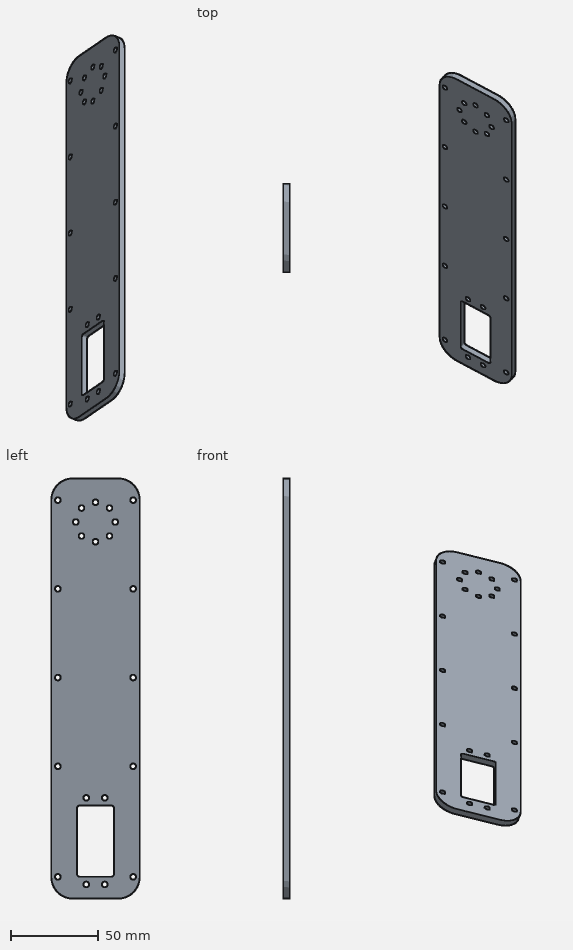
import cadquery as cq

thickness = 3.9
width = 51.0
height = 241.3
corner_radius = 12.5

hole_diameter = 3.1

edge_hole_inset = 3.9
edge_hole_y = width / 2 - edge_hole_inset
end_row_z = height / 2 - corner_radius
row_pitch = 51.0
upper_row_count = 4

ring_radius = 11.3
ring_hole_count = 8
ring_center_z = height / 2 - 25.0

window_width = 21.0
window_height = 40.8
window_corner_radius = 1.5
window_center_z = -87.5
window_hole_spacing_y = 10.5
window_hole_spacing_z = 49.7


def face_plane(center_z=0):
    """YZ plane on the middle of the plate, with local x along Y and local y along Z."""
    return cq.Workplane("YZ", origin=(0, 0, center_z))


def rounded_block(block_width, block_height, radius, center_z=0):
    """Block through the plate thickness with rounded corners."""
    block = face_plane(center_z).rect(block_width, block_height).extrude(thickness / 2, both=True)
    return block.edges("|X").fillet(radius)


def drill(layout):
    """Cylinders through the plate at the points of a layout."""
    return layout.circle(hole_diameter / 2).extrude(thickness, both=True)


plate = rounded_block(width, height, corner_radius)
window = rounded_block(window_width, window_height, window_corner_radius, window_center_z)

row_heights = [end_row_z - row * row_pitch for row in range(upper_row_count)]
row_heights.append(-end_row_z)
edge_points = [(side * edge_hole_y, z) for z in row_heights for side in (-1, 1)]
edge_holes = drill(face_plane().pushPoints(edge_points))

ring_holes = drill(face_plane(ring_center_z).polarArray(ring_radius, 0, 360, ring_hole_count))

window_holes = drill(
    face_plane(window_center_z).rarray(window_hole_spacing_y, window_hole_spacing_z, 2, 2)
)

result = plate.cut(window).cut(edge_holes).cut(ring_holes).cut(window_holes)